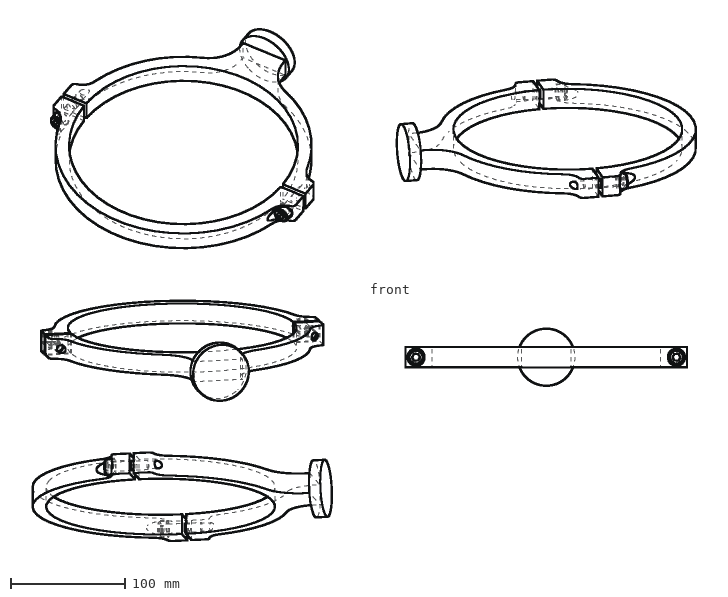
import cadquery as cq
import math

inner_radius = 100.0
outer_radius = 112.0
ring_height = 18.0
split_gap = 3.6

lug_reach = 123.0
lug_corner_radius = 4.0
lug_fillet_radius = 15.0
lug_fillet_end = 29.3

plate_diameter = 50.0
plate_thickness = 10.0
overall_length = 259.5
plate_back = overall_length - outer_radius
plate_front = plate_back - plate_thickness
neck_half_width = 21.5
neck_straight = 4.0

screw_offset = 113.7
shank_diameter = 8.0
head_diameter = 13.5
head_length = 8.0
head_edge_chamfer = 1.0
head_seat = -17.5
shank_end = 12.5
socket_width = 6.0
socket_depth = 4.0
head_bore_diameter = 14.8
thread_hole_diameter = 6.7


def extrude_flat(outline):
    """Extrude a closed XY outline to the ring height, centred on Z = 0."""
    return outline.close().extrude(ring_height / 2, both=True)


def cylinder_y(diameter, start, end, x=0):
    """Cylinder along Y between two Y positions."""
    circle = cq.Workplane("XZ", origin=(x, start, 0)).circle(diameter / 2)
    return circle.extrude(start - end)


def lug(side):
    """Lug on the +Y half; its outer corner runs smoothly into the concave fillet."""
    fillet_y = lug_fillet_end * (outer_radius + lug_fillet_radius) / outer_radius
    fillet_x = math.sqrt((outer_radius + lug_fillet_radius) ** 2 - fillet_y ** 2)
    corner_x = lug_reach - lug_corner_radius
    radii_sum = lug_corner_radius + lug_fillet_radius
    corner_y = fillet_y - math.sqrt(radii_sum ** 2 - (fillet_x - corner_x) ** 2)
    share = lug_corner_radius / radii_sum
    join_x = corner_x + share * (fillet_x - corner_x)
    join_y = corner_y + share * (fillet_y - corner_y)
    ring_x = fillet_x * outer_radius / (outer_radius + lug_fillet_radius)
    root_x = (inner_radius + outer_radius) / 2
    root_end_x = math.sqrt(root_x ** 2 - lug_fillet_end ** 2)

    outline = (
        cq.Workplane("XY")
        .moveTo(side * root_x, 0)
        .lineTo(side * lug_reach, 0)
        .lineTo(side * lug_reach, corner_y)
        .radiusArc((side * join_x, join_y), -side * lug_corner_radius)
        .radiusArc((side * ring_x, lug_fillet_end), side * lug_fillet_radius)
        .lineTo(side * root_end_x, lug_fillet_end)
    )
    return extrude_flat(outline)


def half_clamp():
    """Half ring with two lugs on the +Y side of the split."""
    body = (
        cq.Workplane("XY")
        .circle(outer_radius)
        .circle(inner_radius)
        .extrude(ring_height / 2, both=True)
    )
    for side in (-1, 1):
        body = body.union(lug(side))
    cut_width = 3 * outer_radius
    keep = cq.Workplane("XY").box(cut_width, cut_width, cut_width)
    return body.intersect(keep.translate((0, (cut_width + split_gap) / 2, 0)))


def neck():
    """Neck leaving the plate squarely and flaring tangentially into the ring."""
    flare_start = plate_front - neck_straight
    flare_radius = (neck_half_width ** 2 + flare_start ** 2 - outer_radius ** 2) / (
        2 * (outer_radius - neck_half_width)
    )
    share = outer_radius / (outer_radius + flare_radius)
    foot_x = (neck_half_width + flare_radius) * share
    foot_y = flare_start * share
    outline = (
        cq.Workplane("XY")
        .moveTo(-neck_half_width, plate_front)
        .lineTo(neck_half_width, plate_front)
        .lineTo(neck_half_width, flare_start)
        .radiusArc((foot_x, foot_y), -flare_radius)
        .threePointArc((0, (inner_radius + outer_radius) / 2), (-foot_x, foot_y))
        .radiusArc((-neck_half_width, flare_start), -flare_radius)
    )
    return extrude_flat(outline)


def make_upper_clamp():
    body = half_clamp().union(neck())
    for side in (-1, 1):
        x = side * screw_offset
        body = body.cut(cylinder_y(shank_diameter, 0, shank_end, x))
        body = body.cut(cylinder_y(thread_hole_diameter, 0, lug_fillet_end, x))
    return body


def make_lower_clamp():
    body = half_clamp().mirror("XZ")
    for side in (-1, 1):
        x = side * screw_offset
        body = body.cut(cylinder_y(shank_diameter, head_seat, 0, x))
        body = body.cut(cylinder_y(head_bore_diameter, -outer_radius / 2, head_seat, x))
    return body


def make_plate():
    return cylinder_y(plate_diameter, plate_front, plate_back)


def make_screw(side):
    x = side * screw_offset
    head_end = head_seat - head_length
    head = cylinder_y(head_diameter, head_end, head_seat, x)
    head = head.faces("<Y").chamfer(head_edge_chamfer)
    socket_corner_diameter = socket_width / math.cos(math.pi / 6)
    socket = (
        cq.Workplane("XZ", origin=(x, head_end, 0))
        .polygon(6, socket_corner_diameter)
        .extrude(-socket_depth)
    )
    shank = cylinder_y(shank_diameter, head_seat, shank_end, x)
    return head.union(shank).cut(socket)


upper_clamp = make_upper_clamp()
lower_clamp = make_lower_clamp()
plate = make_plate()
screws = [make_screw(side) for side in (-1, 1)]

result = cq.Compound.makeCompound(
    [upper_clamp.val(), lower_clamp.val(), plate.val(), *[screw.val() for screw in screws]]
)